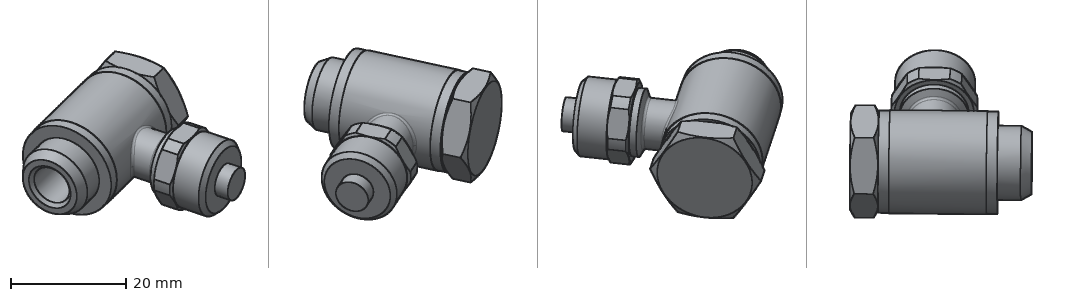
import cadquery as cq
import math

body_diameter = 18.0
end_ring_diameter = 17.85
end_ring_length = 1.85
body_front = -11.3
body_back = 9.35

head_flats = 17.0
head_corner_radius = head_flats / math.sqrt(3)
head_length = 4.92
head_face_radius = 8.4
spigot_diameter = 13.0
spigot_length = 5.9
spigot_tip_diameter = 10.9
spigot_chamfer_length = 1.85
bore_diameter = 7.1
bore_mouth_diameter = 8.45
bore_depth = 22.4

neck_diameter = 9.0
neck_end = 12.95
neck_fillet = 0.5
flange_diameter = 12.0
flange_start = 13.7
flange_fillet = 0.55
nut_start = 14.92
nut_hex_end = 18.8
nut_flats = 14.0
nut_corner_radius = 7.5
nut_face_radius = 6.9
sleeve_diameter = 14.0
sleeve_end = 24.9
sleeve_tip_diameter = 12.25
sleeve_chamfer_length = 0.95
tube_diameter = 6.0
overall_length = 37.3
tube_end = overall_length - head_corner_radius

chamfer_slope = math.tan(math.radians(30))


def cylinder_y(diameter, start, end):
    """Cylinder on the main axis between two Y positions."""
    plane = cq.Workplane("XZ", origin=(0, start, 0))
    return plane.circle(diameter / 2).extrude(start - end)


def cylinder_x(diameter, start, end):
    """Cylinder on the branch axis between two X positions."""
    plane = cq.Workplane("YZ", origin=(start, 0, 0))
    return plane.circle(diameter / 2).extrude(end - start)


def rounded_hexagon(flats, length, face_radius, corner_radius):
    """Hexagonal prism on +Z, corners on X, trimmed by a barrel with conical ends."""
    bevel = (corner_radius - face_radius) * chamfer_slope
    prism = cq.Workplane("XY").polygon(6, flats / math.cos(math.pi / 6)).extrude(length)
    barrel = (
        cq.Workplane("XZ")
        .moveTo(0, 0)
        .lineTo(face_radius, 0)
        .lineTo(corner_radius, bevel)
        .lineTo(corner_radius, length - bevel)
        .lineTo(face_radius, length)
        .lineTo(0, length)
        .close()
        .revolve(360, (0, 0), (0, 1))
    )
    return prism.intersect(barrel)


def make_body_with_neck():
    body = cylinder_y(body_diameter, body_front + end_ring_length, body_back - end_ring_length)
    neck = cylinder_x(neck_diameter, 0, neck_end)
    joined = body.union(neck)
    seam_box = cq.selectors.BoxSelector(
        (neck_diameter / 2, -neck_diameter, -neck_diameter),
        (neck_end - neck_fillet, neck_diameter, neck_diameter),
        boundingbox=True,
    )
    joined = joined.edges(seam_box).fillet(neck_fillet)
    for start in (body_front, body_back - end_ring_length):
        joined = joined.union(cylinder_y(end_ring_diameter, start, start + end_ring_length))
    return joined


def make_flange():
    """Collar on the neck, with a conical back blended into the neck."""
    neck_tail = neck_end - 2 * flange_fillet
    collar = (
        cq.Workplane("XY")
        .moveTo(neck_tail, 0)
        .lineTo(neck_tail, neck_diameter / 2)
        .lineTo(neck_end, neck_diameter / 2)
        .lineTo(flange_start, flange_diameter / 2)
        .lineTo(nut_start, flange_diameter / 2)
        .lineTo(nut_start, 0)
        .close()
        .revolve(360, (0, 0), (1, 0))
    )
    foot = cq.selectors.BoxSelector(
        (neck_end - flange_fillet / 2, -neck_diameter, -neck_diameter),
        (neck_end + flange_fillet / 2, neck_diameter, neck_diameter),
        boundingbox=True,
    )
    return collar.edges(foot).fillet(flange_fillet)


def make_nut():
    hexagon = (
        rounded_hexagon(nut_flats, nut_hex_end - nut_start, nut_face_radius, nut_corner_radius)
        .rotate((0, 0, 0), (0, 0, 1), 90)
        .rotate((0, 0, 0), (0, 1, 0), 90)
        .translate((nut_start, 0, 0))
    )
    sleeve = (
        cylinder_x(sleeve_diameter, nut_start, sleeve_end)
        .faces(">X")
        .chamfer(sleeve_chamfer_length, (sleeve_diameter - sleeve_tip_diameter) / 2)
    )
    sleeve = sleeve.cut(cylinder_x(2 * nut_corner_radius, nut_start, nut_hex_end))
    return hexagon.union(sleeve)


def make_head():
    head = rounded_hexagon(head_flats, head_length, head_face_radius, head_corner_radius)
    return head.rotate((0, 0, 0), (1, 0, 0), -90).translate((0, body_back, 0))


def make_spigot():
    tip = body_front - spigot_length
    return (
        cq.Workplane("XY")
        .moveTo(0, body_front)
        .lineTo(spigot_diameter / 2, body_front)
        .lineTo(spigot_diameter / 2, tip + spigot_chamfer_length)
        .lineTo(spigot_tip_diameter / 2, tip)
        .lineTo(0, tip)
        .close()
        .revolve(360, (0, 0), (0, 1))
    )


def make_bore():
    """Blind hole from the spigot tip with a 45 degree mouth."""
    tip = body_front - spigot_length
    mouth_depth = (bore_mouth_diameter - bore_diameter) / 2
    return (
        cq.Workplane("XY")
        .moveTo(0, tip)
        .lineTo(bore_mouth_diameter / 2, tip)
        .lineTo(bore_diameter / 2, tip + mouth_depth)
        .lineTo(bore_diameter / 2, tip + bore_depth)
        .lineTo(0, tip + bore_depth)
        .close()
        .revolve(360, (0, 0), (0, 1))
    )


result = (
    make_body_with_neck()
    .union(make_flange())
    .union(make_nut())
    .union(cylinder_x(tube_diameter, nut_hex_end, tube_end))
    .union(make_head())
    .union(make_spigot())
    .cut(make_bore())
)